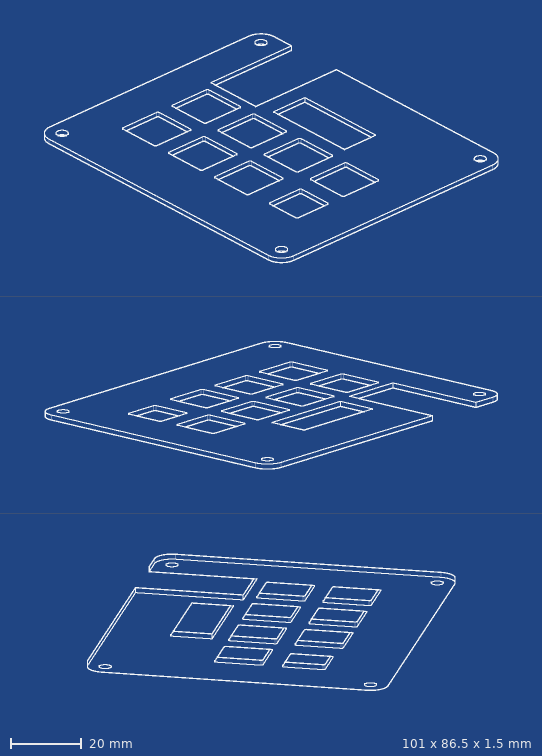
import cadquery as cq

length = 101.0
width = 86.5
thickness = 1.5
corner_radius = 5.0

hole_diameter = 3.4

key_size = 13.9
key_pitch = 19.1
first_key_x = -29.1
upper_row_y = 2.0
upper_row_keys = 4
lower_row_keys = 3
opening_corner_radius = 0.5

small_length = 11.7
small_width = 12.3
small_x = 29.5
small_y = -16.8

window_length = 29.4
window_width = 12.0
window_x = 0.8
window_y = 19.8

notch_left = -38.2
notch_right = -19.6
notch_floor_y = 12.2


def opening(x, y, size_x, size_y):
    """Rectangular through cutter centred at (x, y)."""
    return cq.Workplane("XY").center(x, y).rect(size_x, size_y).extrude(thickness)


def rounded_opening(x, y, size_x, size_y):
    """Through cutter with slightly rounded vertical edges."""
    return opening(x, y, size_x, size_y).edges("|Z").fillet(opening_corner_radius)


plate = cq.Workplane("XY").rect(length, width).extrude(thickness)
plate = plate.edges("|Z").fillet(corner_radius)
plate = (
    plate.faces(">Z").workplane()
    .rect(length - 2 * corner_radius, width - 2 * corner_radius, forConstruction=True)
    .vertices()
    .hole(hole_diameter)
)

for row, key_count in enumerate((upper_row_keys, lower_row_keys)):
    for column in range(key_count):
        key_x = first_key_x + column * key_pitch
        key_y = upper_row_y - row * key_pitch
        plate = plate.cut(rounded_opening(key_x, key_y, key_size, key_size))

plate = plate.cut(rounded_opening(small_x, small_y, small_length, small_width))

plate = plate.cut(opening(window_x, window_y, window_length, window_width))

notch_length = notch_right - notch_left
notch_depth = width / 2 - notch_floor_y
notch_x = (notch_left + notch_right) / 2
notch_y = notch_floor_y + notch_depth / 2
plate = plate.cut(opening(notch_x, notch_y, notch_length, notch_depth))

result = plate